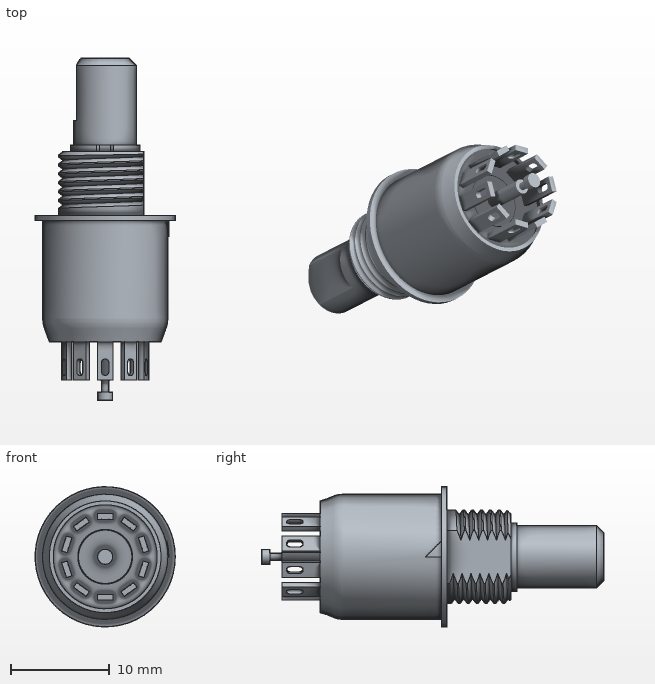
import cadquery as cq
import math


body_radius = 6.35
flange_radius = 7.1
flange_thickness = 0.55
body_straight_length = 9.95
body_length = 12.3
blend_length = 0.87
taper_angle = 20.0
recess_radius = 5.27
recess_depth = 0.87
floor_y = -body_length + recess_depth

tab_radius = 6.45
tab_length = 1.6
tab_height = 1.6

thread_radius = 4.75
thread_depth = 0.5
thread_pitch = 0.9
groove_mouth_width = 0.87
thread_start_y = 1.15
bushing_end_y = 7.05
bushing_chamfer = 0.4
bushing_flat_x = 3.92
groove_overlap = 0.07

collar_radius = 3.55
collar_length = 0.62
notch_floor_width = 1.1
notch_depth = 0.28
notch_mouth_width = 2.08

terminal_count = 10
terminal_pitch_radius = 4.1
terminal_width = 1.6
terminal_thickness = 0.6
terminal_end_y = -16.17
eyelet_length = 1.65
eyelet_width = 0.73
eyelet_y = -14.85

shaft_radius = 3.2
shaft_end_y = 16.48
shaft_chamfer = 0.75
flat_distance = 2.4
flat_end_y = 10.15
flat_tilt = 18.0
journal_radius = 2.7
journal_length = 1.05
journal_clearance = 0.07
rod_radius = 0.75
neck_radius = 0.38
neck_fillet = 0.07
head_radius = 0.75
head_length = 0.85
tail_end_y = -18.22

shoulder_y = floor_y + journal_length
collar_end_y = bushing_end_y + collar_length


def rod(radius, y_from, y_to):
    """Cylinder on the Y axis."""
    return cq.Workplane("XZ", origin=(0, y_from, 0)).circle(radius).extrude(y_from - y_to)


def make_recess():
    """Rear recess whose wall runs parallel to the outer taper, wider at the floor."""
    floor_radius = recess_radius + recess_depth * math.tan(math.radians(taper_angle))
    return (
        cq.Workplane("XY")
        .polyline([
            (0, -body_length),
            (recess_radius, -body_length),
            (floor_radius, floor_y),
            (0, floor_y),
        ])
        .close()
        .revolve(360, (0, 0, 0), (0, 1, 0))
    )


def make_case():
    """Flange and cylinder with a rounded, tapered rear rim."""
    blend_y = -body_straight_length - blend_length
    blend_radius = body_radius - blend_length * math.tan(math.radians(taper_angle / 2))
    rim_radius = blend_radius - (blend_y + body_length) * math.tan(math.radians(taper_angle))
    profile = (
        cq.Workplane("XY")
        .moveTo(0, flange_thickness)
        .lineTo(flange_radius, flange_thickness)
        .lineTo(flange_radius, 0)
        .lineTo(body_radius, 0)
        .lineTo(body_radius, -body_straight_length)
        .tangentArcPoint((blend_radius, blend_y), relative=False)
        .lineTo(rim_radius, -body_length)
        .lineTo(0, -body_length)
        .close()
    )
    case = profile.revolve(360, (0, 0, 0), (0, 1, 0))
    return case.cut(make_recess())


def make_tab():
    """Thin triangular tab on the +X side, narrowing away from the flange."""
    triangle = (
        cq.Workplane("YZ")
        .polyline([(0, 0), (0, tab_height), (-tab_length, 0)])
        .close()
        .extrude(tab_radius)
    )
    return triangle.intersect(rod(tab_radius, -tab_length, 0))


def make_groove_turn():
    """One turn of the helical V groove, built along Z and then turned onto the Y axis."""
    outer_radius = thread_radius + groove_overlap
    root_radius = thread_radius - thread_depth
    helix = cq.Wire.makeHelix(thread_pitch, thread_pitch, root_radius)
    groove = (
        cq.Workplane("XZ")
        .polyline([
            (root_radius, 0),
            (outer_radius, groove_mouth_width / 2),
            (outer_radius, -groove_mouth_width / 2),
        ])
        .close()
        .sweep(cq.Workplane(obj=helix), isFrenet=True)
    )
    return groove.rotate((0, 0, 0), (1, 0, 0), -90).translate((0, thread_start_y, 0))


def make_bushing():
    """Threaded bushing with a flat on the +X side, down to the flange."""
    bushing = rod(thread_radius, 0, bushing_end_y).faces(">Y").chamfer(bushing_chamfer)
    groove_turn = make_groove_turn()
    turn_count = math.ceil((bushing_end_y - thread_start_y) / thread_pitch) + 1
    for turn in range(turn_count):
        bushing = bushing.cut(groove_turn.translate((0, turn * thread_pitch, 0)))
    flat = cq.Workplane("XY").box(
        thread_radius, bushing_end_y, 2 * thread_radius, centered=(False, False, True)
    )
    return bushing.cut(flat.translate((bushing_flat_x, flange_thickness, 0)))


def make_collar():
    """Plain collar with a flared notch at the top."""
    collar = rod(collar_radius, bushing_end_y, collar_end_y)
    notch_floor_z = collar_radius - notch_depth
    notch = (
        cq.Workplane("XZ", origin=(0, collar_end_y, 0))
        .polyline([
            (-notch_floor_width / 2, notch_floor_z),
            (-notch_mouth_width / 2, collar_radius),
            (notch_mouth_width / 2, collar_radius),
            (notch_floor_width / 2, notch_floor_z),
        ])
        .close()
        .extrude(collar_length)
    )
    return collar.cut(notch)


def make_terminal(angle):
    """Solder terminal with an eyelet, turned about the Y axis."""
    length = floor_y - terminal_end_y
    blade = cq.Workplane("XY").box(
        terminal_width, length, terminal_thickness, centered=(True, False, True)
    ).translate((0, terminal_end_y, 0))
    eyelet = (
        cq.Workplane("XY", origin=(0, eyelet_y, 0))
        .slot2D(eyelet_length, eyelet_width, 90)
        .extrude(terminal_thickness, both=True)
    )
    terminal = blade.cut(eyelet).translate((0, 0, terminal_pitch_radius))
    return terminal.rotate((0, 0, 0), (0, 1, 0), angle)


def make_housing():
    housing = make_case().union(make_tab()).union(make_bushing()).union(make_collar())
    for index in range(terminal_count):
        housing = housing.union(make_terminal(index * 360 / terminal_count))
    housing = housing.cut(rod(shaft_radius, shoulder_y, collar_end_y))
    return housing.cut(rod(journal_radius + journal_clearance, floor_y, shoulder_y))


def make_shaft():
    """Shaft with a tilted flat in front and a stepped, headed rod at the rear."""
    shaft = rod(shaft_radius, shoulder_y, shaft_end_y).faces(">Y").chamfer(shaft_chamfer)
    flat_length = shaft_end_y - flat_end_y
    flat = (
        cq.Workplane("XY")
        .box(shaft_radius, flat_length, 2 * shaft_radius, centered=(False, False, True))
        .translate((-flat_distance - shaft_radius, flat_end_y, 0))
        .rotate((0, 0, 0), (0, 1, 0), -flat_tilt)
    )
    shaft = shaft.cut(flat)
    head_y = tail_end_y + head_length
    shaft = shaft.union(rod(journal_radius, floor_y, shoulder_y))
    shaft = shaft.union(rod(rod_radius, terminal_end_y, floor_y))
    shaft = shaft.union(rod(neck_radius, head_y, terminal_end_y))
    shaft = shaft.union(rod(head_radius, tail_end_y, head_y))
    neck_ends = cq.selectors.RadiusNthSelector(0)
    return shaft.edges(neck_ends).fillet(neck_fillet)


housing = make_housing()
shaft = make_shaft()
result = cq.Compound.makeCompound([housing.solids().val(), shaft.solids().val()])